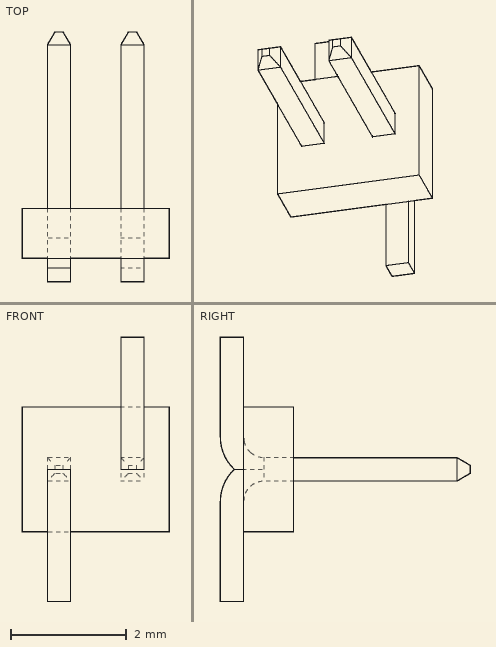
import cadquery as cq
import math

pitch = 1.27
pin_count = 2
housing_length = pin_count * pitch
housing_depth = 0.865
housing_height = 2.16

pin_width = 0.405
overall_depth = 4.32
leg_reach = 4.57 / 2
post_length = overall_depth - pin_width - housing_depth
tip_length = 0.225
tip_width = 0.14

bend_inner_radius = 0.3525
bend_outer_radius = bend_inner_radius + pin_width
bend_center_y = bend_inner_radius
bend_center_height = bend_inner_radius + pin_width / 2
flat_end_y = bend_center_y - math.sqrt(bend_outer_radius**2 - bend_center_height**2)

post_end = housing_depth + post_length
leg_outer_face = -pin_width


def make_post(x):
    """Square post from the bend to a tapered, blunt square tip."""
    taper_start = post_end - tip_length
    shaft = (
        cq.Workplane("XZ", origin=(x, bend_center_y, 0))
        .rect(pin_width, pin_width)
        .extrude(-(taper_start - bend_center_y))
    )
    tip = (
        cq.Workplane("XZ", origin=(x, taper_start, 0))
        .rect(pin_width, pin_width)
        .workplane(offset=-tip_length)
        .rect(tip_width, tip_width)
        .loft(ruled=True)
    )
    return shaft.union(tip)


def make_leg(x, direction):
    """Leg and bend; the leg runs up (+1) or down (-1) from the flat on the bend at Z = 0."""
    bend_start_z = direction * bend_center_height
    leg_end_z = direction * leg_reach
    return (
        cq.Workplane("YZ", origin=(x - pin_width / 2, 0, 0))
        .moveTo(bend_center_y, 0)
        .lineTo(flat_end_y, 0)
        .radiusArc((leg_outer_face, bend_start_z), direction * bend_outer_radius)
        .lineTo(leg_outer_face, leg_end_z)
        .lineTo(0, leg_end_z)
        .lineTo(0, bend_start_z)
        .radiusArc((bend_center_y, direction * pin_width / 2), -direction * bend_inner_radius)
        .close()
        .extrude(pin_width)
    )


def make_pin(x, direction):
    """One bent pin: post, bend and leg in a single solid."""
    return make_post(x).union(make_leg(x, direction))


def make_housing(pins):
    """Plain block with a hole matching each pin."""
    block = cq.Workplane("XY").box(housing_length, housing_depth, housing_height)
    block = block.translate((0, housing_depth / 2, 0))
    for pin in pins:
        block = block.cut(pin)
    return block


pin_positions = [(i - (pin_count - 1) / 2) * pitch for i in range(pin_count)]

pins = []
for i, x in enumerate(pin_positions):
    leg_direction = -1 if i % 2 == 0 else 1
    pins.append(make_pin(x, leg_direction))

housing = make_housing(pins)

result = cq.Compound.makeCompound([housing.val(), *[pin.val() for pin in pins]])